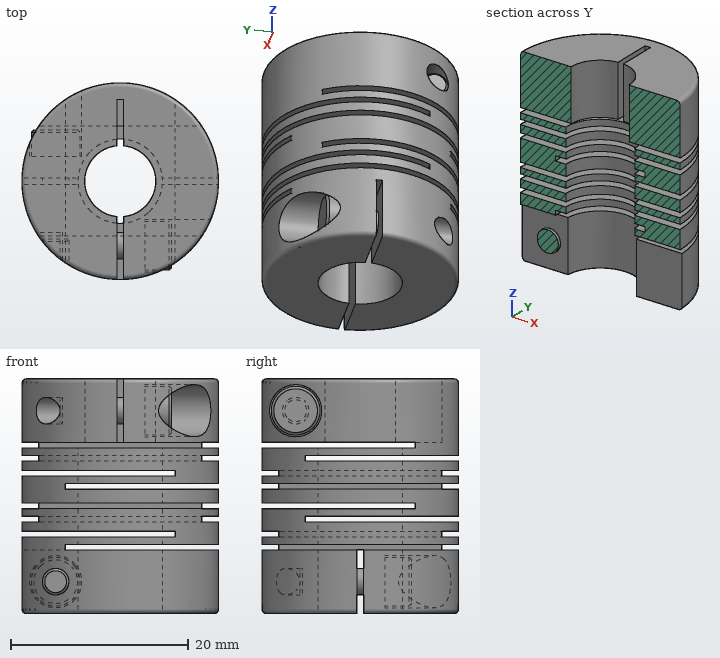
import cadquery as cq

length = 26.5
outer_diameter = 22.2
edge_fillet = 0.5
upper_bore_diameter = 8.0
lower_bore_diameter = 9.51

hub_length = 7.18
slot_width = 0.6
slot_depth_past_axis = 6.2
gap_in_pair = 0.87
gap_between_pairs = 1.09
slots_in_pair = 2
slot_groups = 2
pair_length = slots_in_pair * (slot_width + gap_in_pair) - gap_in_pair
pair_pitch = pair_length + gap_between_pairs
group_length = pair_pitch + pair_length
group_pitch = length - 2 * hub_length - group_length

clamp_gap = 0.75
upper_clamp_end = 9.2

screw_offset = 7.3
screw_end_distance = 3.6
shank_diameter = 3.0
head_diameter = 5.5
head_length = 3.0
head_top = 5.8
head_chamfer = 0.3
counterbore_diameter = 5.88
shank_length = 9.6
tip_chamfer = 0.26

outer_radius = outer_diameter / 2
upper_hub_bottom = length - hub_length
head_seat = head_top - head_length
tip_position = head_seat - shank_length


def make_body():
    body = cq.Workplane("XY").circle(outer_radius).extrude(length)
    body = body.faces("<Z or >Z").edges().fillet(edge_fillet)
    upper_bore = (
        cq.Workplane("XY").workplane(offset=upper_hub_bottom)
        .circle(upper_bore_diameter / 2).extrude(hub_length)
    )
    lower_bore = cq.Workplane("XY").circle(lower_bore_diameter / 2).extrude(upper_hub_bottom)
    return body.cut(upper_bore).cut(lower_bore)


def flexure_slot(top, open_angle):
    """Slot open towards open_angle (degrees from +X), stopping past the axis on the far side."""
    depth = outer_radius + slot_depth_past_axis
    return (
        cq.Workplane("XY")
        .box(depth, outer_diameter, slot_width, centered=(False, True, False))
        .translate((-slot_depth_past_axis, 0, top - slot_width))
        .rotate((0, 0, 0), (0, 0, 1), open_angle)
    )


def cut_flexure_slots(body):
    open_angles = (-90, 90, 180, 0)
    for group in range(slot_groups):
        group_top = upper_hub_bottom - group * group_pitch
        for index, angle in enumerate(open_angles):
            pair, slot = divmod(index, slots_in_pair)
            top = group_top - pair * pair_pitch - slot * (slot_width + gap_in_pair)
            body = body.cut(flexure_slot(top, angle))
    return body


def cut_clamp_gaps(body):
    """The upper gap opens at -Y and stops inside the wall; the lower gap runs right across along X."""
    upper_gap = (
        cq.Workplane("XY")
        .box(clamp_gap, outer_radius + upper_clamp_end, hub_length, centered=(True, False, False))
        .translate((0, -outer_radius, upper_hub_bottom))
    )
    lower_gap = cq.Workplane("XY").box(outer_diameter, clamp_gap, hub_length, centered=(True, True, False))
    return body.cut(upper_gap).cut(lower_gap)


def cross_cylinder(diameter, start, end):
    """Cylinder along X on the axis of the upper clamp screw."""
    return (
        cq.Workplane("YZ", origin=(start, -screw_offset, length - screw_end_distance))
        .circle(diameter / 2).extrude(end - start)
    )


def to_lower_hub(shape):
    """Half turn about the X = Y line at mid height: carries the upper screw to the lower hub."""
    return shape.rotate((0, 0, length / 2), (0.26, 0.26, length / 2), 180)


def fit_clamp_screws(body):
    thread_hole = cross_cylinder(shank_diameter, -outer_radius, head_seat)
    counterbore = cross_cylinder(counterbore_diameter, head_seat, outer_radius)
    shank = cross_cylinder(shank_diameter, tip_position, head_seat).faces("<X").chamfer(tip_chamfer)
    head = cross_cylinder(head_diameter, head_seat, head_top).faces(">X").chamfer(head_chamfer)
    opening = thread_hole.union(counterbore)
    screw = shank.union(head)
    body = body.cut(opening).cut(to_lower_hub(opening))
    return body.union(screw).union(to_lower_hub(screw))


result = make_body()
result = cut_flexure_slots(result)
result = cut_clamp_gaps(result)
result = fit_clamp_screws(result)